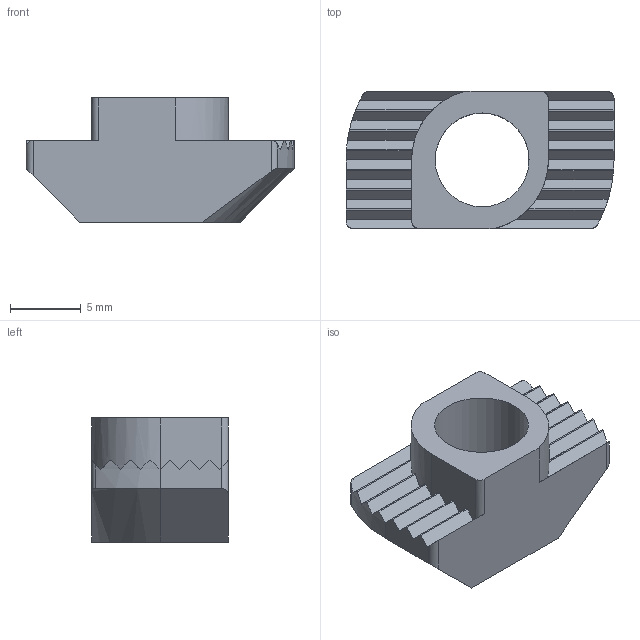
import cadquery as cq
import math

length = 19.0
width = 9.7
wing_height = 5.8
total_height = 8.8
half_length = length / 2
half_width = width / 2

slope_rise = 3.8
base_half_length = half_length - slope_rise

boss_half_length = half_width
boss_arc_radius = 5.0
bore_diameter = 6.65
bore_offset = boss_arc_radius - boss_half_length
corner_radius = 0.5

tooth_pitch = 1.4
groove_depth = 0.65
groove_count = 7


def rotating_outline(plane, half_x, arc_radius):
    """Full-width rectangle with two opposite corners rounded by arcs tangent to its ends at y = 0."""
    arc_center_x = half_x - arc_radius

    def arc_x(y):
        return arc_center_x + math.sqrt(arc_radius**2 - y**2)

    arc_end = arc_x(half_width)
    arc_middle_y = half_width / 2
    arc_middle_x = arc_x(arc_middle_y)
    return (
        plane
        .moveTo(half_x, 0)
        .lineTo(half_x, half_width)
        .lineTo(-arc_end, half_width)
        .threePointArc((-arc_middle_x, arc_middle_y), (-half_x, 0))
        .lineTo(-half_x, -half_width)
        .lineTo(arc_end, -half_width)
        .threePointArc((arc_middle_x, -arc_middle_y), (half_x, 0))
        .close()
    )


def sloped_base():
    """Straight-ruled transition from the bottom face up to the vertical rim."""
    bottom = rotating_outline(cq.Workplane("XY"), base_half_length, base_half_length)
    rim_plane = bottom.workplane(offset=slope_rise)
    return rotating_outline(rim_plane, half_length, half_length).loft(ruled=True)


def wings():
    rim_plane = cq.Workplane("XY").workplane(offset=slope_rise)
    rim = rotating_outline(rim_plane, half_length, half_length).extrude(wing_height - slope_rise)
    rounded_plan = rotating_outline(cq.Workplane("XY"), half_length, half_length).extrude(wing_height)
    rounded_plan = rounded_plan.edges("|Z").edges("<Y or >Y").fillet(corner_radius)
    return sloped_base().union(rim).intersect(rounded_plan)


def grooves():
    first_y = -(groove_count - 1) / 2 * tooth_pitch
    cutters = cq.Workplane("YZ")
    for index in range(groove_count):
        y = first_y + index * tooth_pitch
        cutters = (
            cutters
            .moveTo(y - groove_depth, wing_height)
            .lineTo(y, wing_height - groove_depth)
            .lineTo(y + groove_depth, wing_height)
            .close()
        )
    return cutters.extrude(half_length, both=True)


def boss():
    outline = rotating_outline(cq.Workplane("XY"), boss_half_length, boss_arc_radius)
    return outline.extrude(total_height).edges("(<X and <Y) or (>X and >Y)").fillet(corner_radius)


def bore():
    return cq.Workplane("XY").center(bore_offset, 0).circle(bore_diameter / 2).extrude(total_height)


result = wings().cut(grooves()).union(boss()).cut(bore())